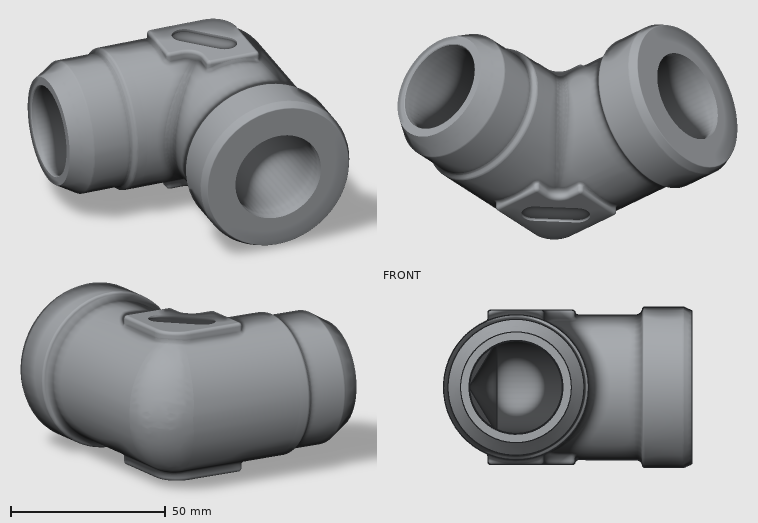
import cadquery as cq
import math

overall_x = 80.5
overall_y = 83

body_radius = 47.0 / 2
plain_length = 32.0
outer_corner_radius = 14.9
inner_corner_radius = 2.65
corner_rounding_height = 22.8

collar_radius = 52.0 / 2
collar_end = overall_x - body_radius
collar_step_start = 38.9
collar_start = 41.8
collar_hollow_share = 0.7
collar_chamfer_length = 2.7
collar_chamfer_depth = 1.25
collar_edge_fillet = 0.8
collar_rim_fillet = 0.3

spigot_radius = 44 / 2
spigot_end = overall_y - collar_radius
shoulder_start = 35.6
spigot_edge_fillet = 1.0
nose_start = 50.0
nose_angle = 30

bore_radius = 30.0 / 2
drill_half_angle = 59
cross_bore_overrun = 6.2
mouth_chamfer = 0.25

pad_half_width = 9.1
pad_reach = 19.2
pad_height = 25.1
pad_base = 16.6
pad_outer_radius = 8.3
pad_notch_radius = 4.8
pad_corner_radius = 1.25
pad_top_fillet = 1.1
pad_foot_fillet = 0.9
pad_foot_margin = 0.1

slot_radius = 4.15
slot_spacing = 14.0
slot_center = 4.15
slot_depth = 1.0


def round_mitre(body, side, radius):
    """Fillet the mitre edge on one side: -1 is the outer corner, 1 the crotch."""
    far = 2 * body_radius
    quadrant = cq.selectors.BoxSelector((0, 0, -far), (far * side, -far * side, far))
    return body.edges("%ELLIPSE").edges(quadrant).fillet(radius)


def make_body():
    path = cq.Workplane("XY").polyline([(0, -plain_length), (0, 0), (plain_length, 0)])
    start_plane = cq.Workplane("XZ", origin=(0, -plain_length, 0))
    body = start_plane.circle(body_radius).sweep(path, transition="right")

    band_size = 4 * plain_length
    band_space = cq.Workplane("XY").box(band_size, band_size, 2 * corner_rounding_height)
    band = body.intersect(band_space)
    crowns = body.cut(band)
    band = round_mitre(band, -1, outer_corner_radius)
    band = round_mitre(band, 1, inner_corner_radius)
    return band.union(crowns)


def make_collar():
    chamfer_start = collar_end - collar_chamfer_length
    rim_radius = collar_radius - collar_chamfer_depth
    turn_x = collar_step_start + collar_hollow_share * (collar_start - collar_step_start)
    turn_radius = body_radius + collar_hollow_share * (collar_radius - body_radius)
    collar = (
        cq.Workplane("XY")
        .moveTo(plain_length, 0)
        .lineTo(plain_length, body_radius)
        .lineTo(collar_step_start, body_radius)
        .tangentArcPoint((turn_x, turn_radius), relative=False)
        .tangentArcPoint((collar_start, collar_radius), relative=False)
        .lineTo(chamfer_start, collar_radius)
        .lineTo(collar_end, rim_radius)
        .lineTo(collar_end, 0)
        .close()
        .revolve(360, (0, 0, 0), (1, 0, 0))
    )
    chamfer_edge = cq.selectors.NearestToPointSelector((chamfer_start, 0, 0))
    collar = collar.edges("%CIRCLE").edges(chamfer_edge).fillet(collar_edge_fillet)
    return collar.faces(">X").edges().fillet(collar_rim_fillet)


def make_spigot():
    nose_drop = (spigot_end - nose_start) * math.tan(math.radians(nose_angle))
    shoulder_end = shoulder_start + body_radius - spigot_radius
    spigot = (
        cq.Workplane("XY")
        .polyline(
            [
                (0, -plain_length),
                (body_radius, -plain_length),
                (body_radius, -shoulder_start),
                (spigot_radius, -shoulder_end),
                (spigot_radius, -nose_start),
                (spigot_radius - nose_drop, -spigot_end),
                (0, -spigot_end),
            ]
        )
        .close()
        .revolve(360, (0, 0, 0), (0, 1, 0))
    )
    for y in (-shoulder_start, -shoulder_end, -nose_start):
        edge = cq.selectors.NearestToPointSelector((0, y, 0))
        spigot = spigot.edges("%CIRCLE").edges(edge).fillet(spigot_edge_fillet)
    return spigot


def make_pad():
    base = cq.Workplane("XY").workplane(offset=pad_base)
    pad = (
        base.polyline(
            [
                (-pad_half_width, pad_half_width),
                (pad_reach, pad_half_width),
                (pad_reach, -pad_half_width),
                (pad_half_width, -pad_half_width),
                (pad_half_width, -pad_reach),
                (-pad_half_width, -pad_reach),
            ]
        )
        .close()
        .extrude(pad_height - pad_base)
    )
    for x, y, radius in [
        (-pad_half_width, pad_half_width, pad_outer_radius),
        (pad_half_width, -pad_half_width, pad_notch_radius),
        (pad_reach, pad_half_width, pad_corner_radius),
        (pad_reach, -pad_half_width, pad_corner_radius),
        (-pad_half_width, -pad_reach, pad_corner_radius),
        (pad_half_width, -pad_reach, pad_corner_radius),
    ]:
        corner = cq.selectors.NearestToPointSelector((x, y, (pad_base + pad_height) / 2))
        pad = pad.edges("|Z").edges(corner).fillet(radius)
    return pad.faces(">Z").edges().fillet(pad_top_fillet)


def round_pad_foot(body):
    """Fillet the foot of the upper pad where it stands on the arms."""
    width = pad_half_width + pad_foot_margin
    reach = pad_reach + pad_foot_margin
    high = pad_height - pad_top_fillet - pad_foot_margin
    along_x = cq.selectors.BoxSelector((-width, -width, pad_base), (reach, width, high))
    along_y = cq.selectors.BoxSelector((-width, -reach, pad_base), (width, width, high))
    return body.edges(along_x + along_y).edges("not %LINE").fillet(pad_foot_fillet)


def make_slot():
    return (
        cq.Workplane("XY")
        .workplane(offset=pad_height - slot_depth)
        .center(slot_center, -slot_center)
        .transformed(rotate=(0, 0, 45))
        .slot2D(slot_spacing + 2 * slot_radius, 2 * slot_radius)
        .extrude(2 * slot_depth)
    )


def make_cross_bore():
    """Bore from the +X end, ending in a drill point."""
    tip = bore_radius / math.tan(math.radians(drill_half_angle))
    return (
        cq.Workplane("XY")
        .polyline(
            [
                (collar_end, 0),
                (collar_end, bore_radius),
                (-cross_bore_overrun, bore_radius),
                (-cross_bore_overrun - tip, 0),
            ]
        )
        .close()
        .revolve(360, (0, 0, 0), (1, 0, 0))
    )


def make_spigot_bore():
    """Bore from the -Y end to the X axis, chamfered at its mouth."""
    bore = cq.Workplane("XZ").circle(bore_radius).extrude(spigot_end)
    mouth = (
        cq.Workplane("XZ", origin=(0, -spigot_end, 0))
        .circle(bore_radius + mouth_chamfer)
        .workplane(offset=-mouth_chamfer)
        .circle(bore_radius)
        .loft()
    )
    return bore.union(mouth)


elbow = make_body()
for _ in range(2):
    elbow = round_pad_foot(elbow.union(make_pad())).mirror("XY")

outside = elbow.union(make_collar()).union(make_spigot())
drilled = outside.cut(make_cross_bore()).cut(make_spigot_bore())
slot = make_slot()
result = drilled.cut(slot).cut(slot.mirror("XY"))